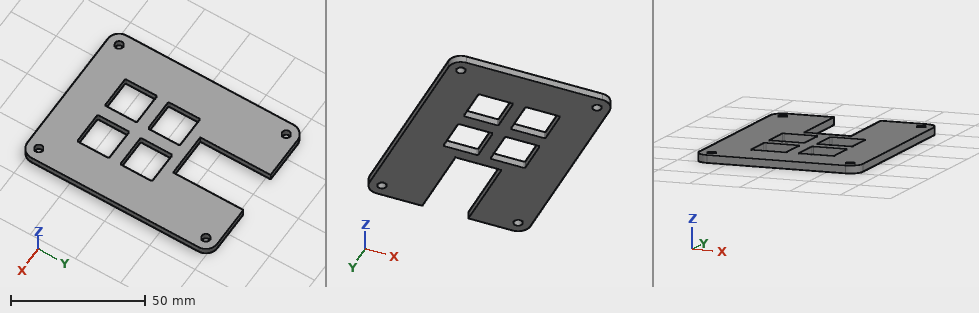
import cadquery as cq

plate_width = 65.2
plate_length = 83.95
plate_thickness = 3.0
corner_radius = 5.0

hole_diameter = 3.4
hole_spacing_x = plate_width - 2 * corner_radius
hole_spacing_y = plate_length - 2 * corner_radius

slot_width = 18.6
slot_depth = 31.1
slot_center_x = 0.25

window_size = 14.0
window_corner_radius = 0.5
window_pitch = 19.05
windows_per_side = 2
window_grid_x = 0.6
window_grid_y = -10.15


def make_plate():
    plate = cq.Workplane("XY").box(
        plate_width, plate_length, plate_thickness, centered=(True, True, False)
    )
    return plate.edges("|Z").fillet(corner_radius)


def make_mounting_holes():
    return (
        cq.Workplane("XY")
        .rect(hole_spacing_x, hole_spacing_y, forConstruction=True)
        .vertices()
        .circle(hole_diameter / 2)
        .extrude(plate_thickness)
    )


def make_slot():
    slot_center_y = plate_length / 2 - slot_depth / 2
    return (
        cq.Workplane("XY")
        .center(slot_center_x, slot_center_y)
        .rect(slot_width, slot_depth)
        .extrude(plate_thickness)
    )


def make_windows():
    return (
        cq.Workplane("XY")
        .center(window_grid_x, window_grid_y)
        .rarray(window_pitch, window_pitch, windows_per_side, windows_per_side)
        .rect(window_size, window_size)
        .extrude(plate_thickness)
        .edges("|Z")
        .fillet(window_corner_radius)
    )


result = make_plate().cut(make_mounting_holes()).cut(make_slot()).cut(make_windows())